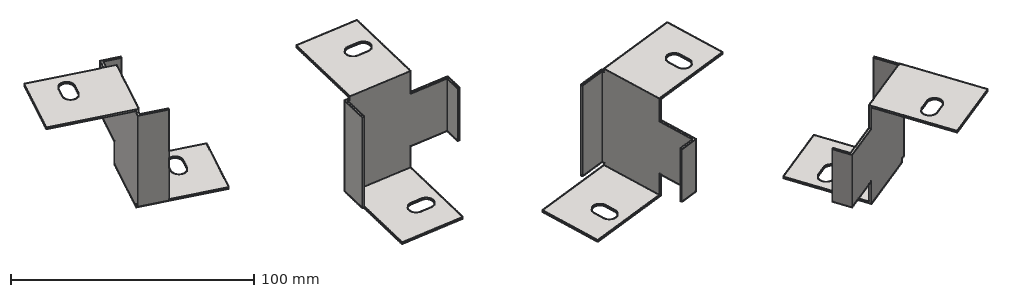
import cadquery as cq

WEB_THICKNESS = 1.16
FLANGE_THICKNESS = 1.0

HEIGHT = 52.0
LENGTH = 51.0
NECK_LENGTH = 19.0
NECK_HEIGHT = 27.8
CORNER_NOTCH = 2.0

NECK_LIP_DEPTH = 9.0
END_LIP_DEPTH = 13.5

FLANGE_LENGTH = 40.0
SLOT_LENGTH = 12.0
SLOT_WIDTH = 7.0
SLOT_EDGE_DISTANCE = 16.0
SLOT_NECK_OFFSET = 10.0

FLANGE_WIDTH = LENGTH - NECK_LENGTH - CORNER_NOTCH
END_HEIGHT = HEIGHT - 2 * CORNER_NOTCH
NECK_BOTTOM = (HEIGHT - NECK_HEIGHT) / 2
SLOT_X = NECK_LENGTH + SLOT_NECK_OFFSET


def block(size, corner):
    """Box of the given size with its minimum corner at the given point."""
    return cq.Workplane("XY").box(*size, centered=False).translate(corner)


def web():
    """Upright web: full-height centre, narrow neck and notched far end."""
    neck = block((NECK_LENGTH, WEB_THICKNESS, NECK_HEIGHT), (0, 0, NECK_BOTTOM))
    centre = block((FLANGE_WIDTH, WEB_THICKNESS, HEIGHT), (NECK_LENGTH, 0, 0))
    end = block(
        (CORNER_NOTCH, WEB_THICKNESS, END_HEIGHT),
        (LENGTH - CORNER_NOTCH, 0, CORNER_NOTCH),
    )
    return neck.union(centre).union(end)


def neck_lip():
    """Lip bent back from the end of the neck."""
    return block((FLANGE_THICKNESS, NECK_LIP_DEPTH, NECK_HEIGHT), (0, 0, NECK_BOTTOM))


def end_lip():
    """Lip bent back from the notched end of the web."""
    return block(
        (FLANGE_THICKNESS, END_LIP_DEPTH, END_HEIGHT),
        (LENGTH - FLANGE_THICKNESS, 0, CORNER_NOTCH),
    )


def mounting_flange(y_min, z_min, slot_y):
    """Horizontal slotted flange with its lower front edge at y_min, z_min."""
    plate = block((FLANGE_WIDTH, FLANGE_LENGTH, FLANGE_THICKNESS), (NECK_LENGTH, y_min, z_min))
    slot = (
        cq.Workplane("XY", origin=(SLOT_X, slot_y, z_min))
        .slot2D(SLOT_LENGTH, SLOT_WIDTH)
        .extrude(FLANGE_THICKNESS)
    )
    return plate.cut(slot)


def upper_flange():
    """Flange bent forward from the top of the web."""
    free_edge = WEB_THICKNESS - FLANGE_LENGTH
    return mounting_flange(free_edge, HEIGHT - FLANGE_THICKNESS, free_edge + SLOT_EDGE_DISTANCE)


def lower_flange():
    """Flange bent back from the bottom of the web."""
    return mounting_flange(0, 0, FLANGE_LENGTH - SLOT_EDGE_DISTANCE)


result = (
    web()
    .union(neck_lip())
    .union(end_lip())
    .union(upper_flange())
    .union(lower_flange())
    .clean()
)